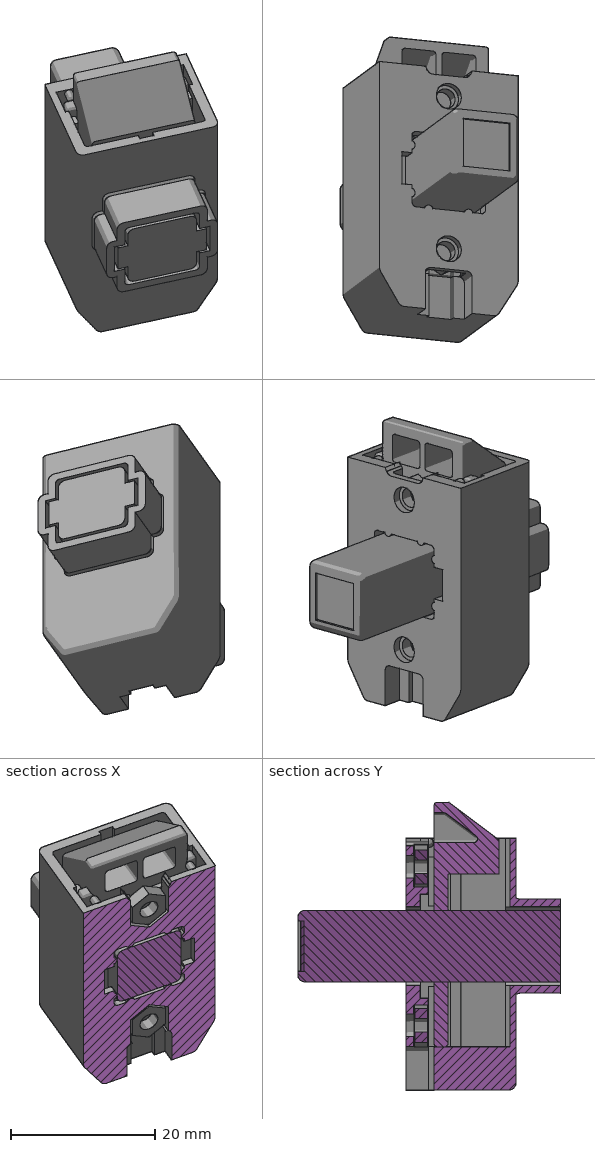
import cadquery as cq
import math


HOUSING_DEPTH = 15.3
HOUSING_WIDTH = 20.6
HOUSING_HEIGHT = 35.0
FRONT_WALL = 2.0
REAR_WALL = 1.5
CAVITY_WIDTH = 17.5
CAVITY_CORNER = 0.5
REAR_FILLET = 1.0
BOTTOM_CHAMFER_Y = 3.1
BOTTOM_CHAMFER_Z = 5.0
CHAMFER_UPPER_BLEND = 1.8
CHAMFER_LOWER_BLEND = 1.0
REAR_CHANNEL_WIDTH = 2.1
REAR_CHANNEL_DEPTH = 0.65

BAR_SIZE = 10.0
BAR_CENTER_Z = 20.0
BAR_FRONT_X = -15.0
BAR_FILLET = 1.0
LUG_SPAN = 12.9
LUG_HEIGHT = 4.0
KEYHOLE_SIZE = 10.9
KEYHOLE_CORNER = 0.65
KEYHOLE_EAR_SPAN = 13.9
KEYHOLE_EAR_HEIGHT = 4.65
BUMP_RADIUS = 0.65
TOP_BUMP_OFFSET = 2.95
SIDE_BUMP_OFFSET = 3.45

LABEL_SIZE = 6.9
LABEL_THICKNESS = 0.4
LABEL_SETBACK = 0.4

COLLAR_LENGTH = 6.2
COLLAR_WALL = 1.1
COLLAR_FILLET = 1.0
COLLAR_FLARE = 0.15
COLLAR_FLARE_LENGTH = 0.5

NUT_SPACING = 22.0
NUT_ACROSS_FLATS = 5.2
NUT_THICKNESS = 1.8
NUT_BORE = 2.75
SCREW_HOLE = 3.7
POCKET_FRONT_X = 1.1
POCKET_DEPTH = 2.0
POCKET_WIDTH = 5.85
BOSS_HALF_HEIGHT = 3.8
SLOT_WIDTH = 6.9
SLOT_CORNER = 0.85
SLOT_TO_NUT = 2.95
UPPER_SLOT_WIDTH = 6.45
UPPER_SLOT_LEAD_IN = 0.5
GROOVE_WIDTH = 3.6

PLATE_FRONT_X = 3.9
PLATE_THICKNESS = 2.0
PLATE_WIDTH = 17.75
PLATE_TOP_Z = 34.9
SLIDER_FILLET = 0.5
GUIDE_WIDTH = 18.5
GUIDE_BACK_X = 6.15
HEAD_WIDTH = 15.0
HEAD_DEPTH = 9.05
HEAD_TOP_Z = 40.0
HEAD_BOTTOM_Z = 30.0
HEAD_FLAT = 2.1
SLOPE_RISE_PER_RUN = 0.75
SLOPE_LENGTH_PER_RUN = 1.25
RIB_SPAN = 8.95
RIB_TOP_Z = 32.4
RIB_GAP = 11.2

WINDOW_WIDTH = 5.0
WINDOW_WEB = 0.9
WINDOW_FLOOR_Z = 34.4
WINDOW_WALL = 1.5

POST_DIAMETER = 1.2
POST_LENGTH = 1.8
POST_TIP_FILLET = 0.45
POST_Y = 7.45
POST_Z = 34.3
RAIL_DEPTH = 1.5
RAIL_HEIGHT = 1.0
RAIL_CORNER = 0.35
RAIL_TOP_Z = 33.8

CAVITY_REAR_X = HOUSING_DEPTH - REAR_WALL
COLLAR_END_X = HOUSING_DEPTH + COLLAR_LENGTH
POCKET_BACK_X = POCKET_FRONT_X + POCKET_DEPTH
LOWER_NUT_Z = BAR_CENTER_Z - NUT_SPACING / 2
UPPER_NUT_Z = BAR_CENTER_Z + NUT_SPACING / 2
LOWER_SLOT_TOP_Z = LOWER_NUT_Z - SLOT_TO_NUT
UPPER_SLOT_BOTTOM_Z = UPPER_NUT_Z + SLOT_TO_NUT
FLOOR_Z = LOWER_SLOT_TOP_Z
PLATE_BACK_X = PLATE_FRONT_X + PLATE_THICKNESS


def block(x_range, y_range, z_range):
    """A box between the given limits."""
    (x0, x1), (y0, y1), (z0, z1) = x_range, y_range, z_range
    return cq.Workplane("XY").box(x1 - x0, y1 - y0, z1 - z0, centered=False).translate((x0, y0, z0))


def centered_block(x_range, width, z_range):
    """A box that is symmetric about the XZ plane."""
    return block(x_range, (-width / 2, width / 2), z_range)


def cross_section_plane(x, z=BAR_CENTER_Z):
    """A YZ workplane at x with its origin on the middle plane at height z."""
    return cq.Workplane("YZ", origin=(x, 0, z))


def stepped_prism(x_range, size, corner, ear_span, ear_height, ear_corner, taper=0):
    """A rounded square prism along X with a wide ear on each side, narrowing by the taper angle."""

    def rounded_prism(width, height, radius):
        sketch = cq.Sketch().rect(width, height)
        if radius > 0:
            sketch = sketch.vertices().fillet(radius)
        return cross_section_plane(x0).placeSketch(sketch).extrude(x1 - x0, taper=taper)

    x0, x1 = x_range
    return rounded_prism(size, size, corner).union(rounded_prism(ear_span, ear_height, ear_corner))


def keyhole(x_range):
    """The opening for the bar and its side lugs."""
    return stepped_prism(x_range, KEYHOLE_SIZE, KEYHOLE_CORNER, KEYHOLE_EAR_SPAN, KEYHOLE_EAR_HEIGHT, 0)


def hexagon(z, x, thickness, across_flats):
    """A hexagonal prism along X with one corner pointing up."""
    sides = 6
    corner_diameter = across_flats / math.cos(math.pi / sides)
    sketch = cross_section_plane(x, z).transformed(rotate=(0, 0, 90))
    return sketch.polygon(sides, corner_diameter).extrude(thickness)


def bar_prism(x_range):
    """The plain rounded bar, without its front fillet, lugs or recess."""
    x0, x1 = x_range
    bar = cross_section_plane(x0).rect(BAR_SIZE, BAR_SIZE).extrude(x1 - x0)
    return bar.edges("|X").fillet(BAR_FILLET)


def housing_shell():
    """The outer block with chamfered bottom corners and a rounded rear outline."""
    half = HOUSING_WIDTH / 2
    bottom_half = half - BOTTOM_CHAMFER_Y
    outline = [
        (-half, HOUSING_HEIGHT),
        (-half, BOTTOM_CHAMFER_Z),
        (-bottom_half, 0),
        (bottom_half, 0),
        (half, BOTTOM_CHAMFER_Z),
        (half, HOUSING_HEIGHT),
    ]
    shell = cross_section_plane(0, 0).polyline(outline).close().extrude(HOUSING_DEPTH)
    for y, z, blend in (
        (half, BOTTOM_CHAMFER_Z, CHAMFER_UPPER_BLEND),
        (bottom_half, 0, CHAMFER_LOWER_BLEND),
    ):
        for side in (-1, 1):
            corner = (HOUSING_DEPTH / 2, side * y, z)
            shell = shell.edges(cq.selectors.NearestToPointSelector(corner)).fillet(blend)
    rear_edges = shell.faces(">X").edges()
    below_top = [edge for edge in rear_edges.vals() if edge.Center().z < HOUSING_HEIGHT - REAR_FILLET]
    return rear_edges.newObject(below_top).fillet(REAR_FILLET)


def housing_cavity():
    """The open-topped chamber with the wide plate guide and the rear wall channel."""
    heights = (FLOOR_Z, HOUSING_HEIGHT)
    chamber = centered_block((FRONT_WALL, CAVITY_REAR_X), CAVITY_WIDTH, heights)
    chamber = chamber.edges("|Z and >X").fillet(CAVITY_CORNER)
    guide = centered_block((FRONT_WALL, GUIDE_BACK_X), GUIDE_WIDTH, heights)
    channel = centered_block((CAVITY_REAR_X, CAVITY_REAR_X + REAR_CHANNEL_DEPTH), REAR_CHANNEL_WIDTH, heights)
    return chamber.union(guide).union(channel)


def rear_collar():
    """The collar around the rear keyhole, slightly flared where it leaves the wall."""

    def collar_prism(end_x, wall, taper):
        return stepped_prism(
            (HOUSING_DEPTH, end_x),
            KEYHOLE_SIZE + 2 * wall,
            COLLAR_FILLET,
            KEYHOLE_EAR_SPAN + 2 * wall,
            KEYHOLE_EAR_HEIGHT + 2 * wall,
            COLLAR_FILLET,
            taper,
        )

    flare_angle = math.degrees(math.atan(COLLAR_FLARE / COLLAR_FLARE_LENGTH))
    flare = collar_prism(HOUSING_DEPTH + COLLAR_FLARE_LENGTH, COLLAR_WALL + COLLAR_FLARE, flare_angle)
    return collar_prism(COLLAR_END_X, COLLAR_WALL, 0).union(flare)


def nut_bosses():
    """Blocks behind the front wall that carry the two nut pockets."""
    x_range = (FRONT_WALL, POCKET_BACK_X)
    upper = centered_block(x_range, SLOT_WIDTH, (UPPER_NUT_Z - BOSS_HALF_HEIGHT, HOUSING_HEIGHT))
    lower = centered_block(x_range, SLOT_WIDTH, (FLOOR_Z, LOWER_NUT_Z + BOSS_HALF_HEIGHT))
    return upper.union(lower)


def upper_slot_lead_in():
    """A steep taper that widens the mouth of the upper slot to the width of the boss."""
    mouth_half = SLOT_WIDTH / 2
    throat_half = UPPER_SLOT_WIDTH / 2
    throat_z = HOUSING_HEIGHT - UPPER_SLOT_LEAD_IN
    taper = [
        (-mouth_half, HOUSING_HEIGHT),
        (-throat_half, throat_z),
        (throat_half, throat_z),
        (mouth_half, HOUSING_HEIGHT),
    ]
    return cross_section_plane(0, 0).polyline(taper).close().extrude(POCKET_BACK_X)


def nut_openings():
    """Screw holes, nut pockets and the end slots through which the nuts are pushed in."""
    upper_slot = centered_block((0, POCKET_BACK_X), UPPER_SLOT_WIDTH, (UPPER_SLOT_BOTTOM_Z, HOUSING_HEIGHT))
    upper_slot = upper_slot.edges("|X and <Z").fillet(SLOT_CORNER).union(upper_slot_lead_in())
    lower_slot = centered_block((0, POCKET_BACK_X), SLOT_WIDTH, (0, LOWER_SLOT_TOP_Z))
    lower_slot = lower_slot.edges("|X and >Z").fillet(SLOT_CORNER)
    groove = centered_block((POCKET_BACK_X, PLATE_FRONT_X), GROOVE_WIDTH, (0, LOWER_SLOT_TOP_Z))
    pocket_x = (POCKET_FRONT_X, POCKET_BACK_X)
    upper_pocket = centered_block(pocket_x, POCKET_WIDTH, (UPPER_NUT_Z, HOUSING_HEIGHT))
    lower_pocket = centered_block(pocket_x, POCKET_WIDTH, (LOWER_SLOT_TOP_Z, LOWER_NUT_Z))
    openings = upper_slot.union(lower_slot).union(groove).union(upper_pocket).union(lower_pocket)
    for nut_z in (LOWER_NUT_Z, UPPER_NUT_Z):
        hole = cross_section_plane(0, nut_z).circle(SCREW_HOLE / 2).extrude(POCKET_BACK_X)
        seat = hexagon(nut_z, POCKET_FRONT_X, POCKET_DEPTH, POCKET_WIDTH)
        openings = openings.union(hole).union(seat)
    return openings


def keyhole_bumps():
    """Round ribs in the front keyhole that bear on the four sides of the bar."""
    reach = BAR_SIZE / 2 + BUMP_RADIUS
    places = []
    for first in (-1, 1):
        for second in (-1, 1):
            places.append((first * TOP_BUMP_OFFSET, second * reach))
            places.append((first * reach, second * SIDE_BUMP_OFFSET))
    return cross_section_plane(0).pushPoints(places).circle(BUMP_RADIUS).extrude(FRONT_WALL)


def locating_post(side):
    """A round-tipped pin on the front wall that reaches to the slider plate."""
    post = cross_section_plane(FRONT_WALL, POST_Z).center(side * POST_Y, 0)
    return post.circle(POST_DIAMETER / 2).extrude(POST_LENGTH).faces(">X").edges().fillet(POST_TIP_FILLET)


def guide_rail(side):
    """An upright rail on a side wall, just behind the slider plate."""
    wall = CAVITY_WIDTH / 2
    rail = block(
        (GUIDE_BACK_X, GUIDE_BACK_X + RAIL_DEPTH), (wall - RAIL_HEIGHT, wall), (FLOOR_Z, RAIL_TOP_Z)
    )
    rail = rail.edges("|Z and <Y").fillet(RAIL_CORNER)
    return rail if side > 0 else rail.mirror("XZ")


def make_housing():
    body = housing_shell().cut(housing_cavity())
    body = body.union(rear_collar()).cut(keyhole((CAVITY_REAR_X, COLLAR_END_X)))
    body = body.cut(keyhole((0, FRONT_WALL)).cut(keyhole_bumps()))
    body = body.union(nut_bosses()).cut(nut_openings())
    for side in (-1, 1):
        body = body.union(locating_post(side)).union(guide_rail(side))
    return body


def make_key_bar():
    bar = bar_prism((BAR_FRONT_X, COLLAR_END_X)).faces("<X").edges().fillet(BAR_FILLET)
    middle = (BAR_CENTER_Z - LUG_HEIGHT / 2, BAR_CENTER_Z + LUG_HEIGHT / 2)
    lugs = centered_block((PLATE_BACK_X, COLLAR_END_X), LUG_SPAN, middle)
    recess = cross_section_plane(BAR_FRONT_X).rect(LABEL_SIZE, LABEL_SIZE)
    return bar.union(lugs).cut(recess.extrude(LABEL_SETBACK + LABEL_THICKNESS))


def make_label_plate():
    sketch = cross_section_plane(BAR_FRONT_X + LABEL_SETBACK).rect(LABEL_SIZE, LABEL_SIZE)
    return sketch.extrude(LABEL_THICKNESS)


def make_nut(z):
    x = POCKET_FRONT_X + (POCKET_DEPTH - NUT_THICKNESS) / 2
    bore = cross_section_plane(x, z).circle(NUT_BORE / 2).extrude(NUT_THICKNESS)
    return hexagon(z, x, NUT_THICKNESS, NUT_ACROSS_FLATS).cut(bore)


def slider_head():
    """The wedge-shaped grip with a sloping back."""
    back_x = PLATE_FRONT_X + HEAD_DEPTH
    flat_end_x = PLATE_FRONT_X + HEAD_FLAT
    slope_end_z = HEAD_TOP_Z - SLOPE_RISE_PER_RUN * (back_x - flat_end_x)
    profile = [
        (PLATE_FRONT_X, HEAD_BOTTOM_Z),
        (PLATE_FRONT_X, HEAD_TOP_Z),
        (flat_end_x, HEAD_TOP_Z),
        (back_x, slope_end_z),
        (back_x, HEAD_BOTTOM_Z),
    ]
    head = cq.Workplane("XZ").polyline(profile).close().extrude(HEAD_WIDTH / 2, both=True)
    front_top_edge = cq.selectors.NearestToPointSelector((PLATE_FRONT_X, 0, HEAD_TOP_Z))
    head = head.edges(front_top_edge).fillet(SLIDER_FILLET)
    side_edges = head.faces("<Y or >Y").edges()
    exposed = []
    for edge in side_edges.vals():
        above_bottom = edge.Center().z > HEAD_BOTTOM_Z + SLIDER_FILLET
        before_back = edge.Center().x < back_x - SLIDER_FILLET
        if above_bottom and before_back:
            exposed.append(edge)
    return side_edges.newObject(exposed).fillet(SLIDER_FILLET)


def finger_window(side):
    """A pocket in the head front whose ceiling follows the flat top and the slope."""
    ceiling_z = HEAD_TOP_Z - WINDOW_WALL
    slope_drop = WINDOW_WALL * SLOPE_LENGTH_PER_RUN
    flat_end_x = PLATE_FRONT_X + HEAD_FLAT - (slope_drop - WINDOW_WALL) / SLOPE_RISE_PER_RUN
    floor_end_x = flat_end_x + (ceiling_z - WINDOW_FLOOR_Z) / SLOPE_RISE_PER_RUN
    profile = [
        (PLATE_FRONT_X, WINDOW_FLOOR_Z),
        (PLATE_FRONT_X, ceiling_z),
        (flat_end_x, ceiling_z),
        (floor_end_x, WINDOW_FLOOR_Z),
    ]
    window = cq.Workplane("XZ").polyline(profile).close().extrude(WINDOW_WIDTH / 2, both=True)
    window = window.edges("not <X").fillet(SLIDER_FILLET)
    return window.translate((0, side * (WINDOW_WEB + WINDOW_WIDTH) / 2, 0))


def slider_rib(side):
    """A rib on the plate front that backs both nuts and is interrupted around the bar."""
    near, far = side * GROOVE_WIDTH / 2, side * RIB_SPAN / 2
    depth = (POCKET_BACK_X, PLATE_FRONT_X + PLATE_THICKNESS / 2)
    rib = block(depth, (min(near, far), max(near, far)), (FLOOR_Z, RIB_TOP_Z))
    gap = (BAR_CENTER_Z - RIB_GAP / 2, BAR_CENTER_Z + RIB_GAP / 2)
    return rib.cut(centered_block((POCKET_BACK_X, PLATE_FRONT_X), RIB_SPAN, gap))


def make_slider():
    plate = centered_block((PLATE_FRONT_X, PLATE_BACK_X), PLATE_WIDTH, (FLOOR_Z, PLATE_TOP_Z))
    slider = plate.edges().fillet(SLIDER_FILLET).union(slider_head())
    for side in (-1, 1):
        slider = slider.cut(finger_window(side)).union(slider_rib(side))
    return slider.cut(bar_prism((POCKET_BACK_X, PLATE_BACK_X)))


housing = make_housing()
key_bar = make_key_bar()
label_plate = make_label_plate()
slider = make_slider()
nuts = [make_nut(z) for z in (LOWER_NUT_Z, UPPER_NUT_Z)]

result = cq.Compound.makeCompound(
    [housing.val(), key_bar.val(), label_plate.val(), slider.val(), *[nut.val() for nut in nuts]]
)